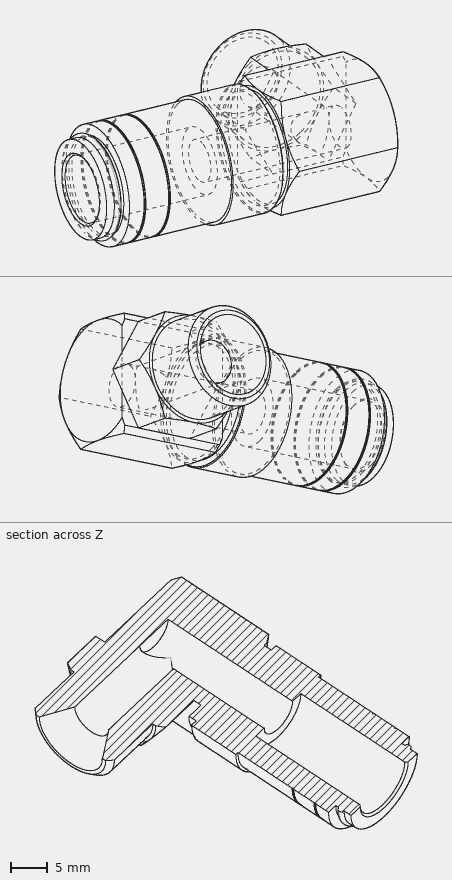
import cadquery as cq
import math


body_flats = 17.05
body_back = 7.12
body_front = body_back - body_flats
body_side = -5.5

nut_flats = 15.1
nut_end = -12.2
stub_end = -21.2
stub_radius = 7.05
stub_chamfer = 0.85
cone_mouth_radius = 5.6
cone_depth = 4.4

neck_radius = 8.0
collar_radius = 18.0 / 2
collar_start = -11.15
collar_end = -19.1
collar_chamfer = 0.15
sleeve_radius = 8.55
sleeve_end = -35.15
groove_places = (-28.8, -32.7)
groove_width = 0.25
groove_depth = 0.1

nose_radius = stub_radius
nose_end = -37.85
ring_place = -36.15
ring_wire_radius = 0.5
ring_outer_radius = 7.5

bore_radius = 6.0 / 2
socket_radius = 4.75
socket_bottom = collar_end
socket_chamfer = 0.33

hex_chamfer_angle = 30


def cylinder_y(radius, start, end):
    """Cylinder around the Y axis between two Y positions (start above end)."""
    return cq.Workplane("XZ", origin=(0, start, 0)).circle(radius).extrude(start - end)


def cylinder_x(radius, start, end):
    """Cylinder around the X axis between two X positions."""
    return cq.Workplane("YZ", origin=(start, 0, 0)).circle(radius).extrude(end - start)


def hex_prism(flats, length, both_ends):
    """Hexagonal bar along local Z, corners on local X, with conical chamfers at its ends."""
    corner_radius = flats / math.sqrt(3)
    flat_radius = flats / 2
    drop = (corner_radius - flat_radius) * math.tan(math.radians(hex_chamfer_angle))
    bar = cq.Workplane("XY").polygon(6, 2 * corner_radius).extrude(length)
    profile = cq.Workplane("XZ").lineTo(flat_radius, 0).lineTo(corner_radius, drop)
    if both_ends:
        profile = profile.lineTo(corner_radius, length - drop).lineTo(flat_radius, length)
    else:
        profile = profile.lineTo(corner_radius, length)
    envelope = profile.lineTo(0, length).close().revolve(360, (0, 0, 0), (0, 1, 0))
    return bar.intersect(envelope)


def make_body():
    length = body_back - body_front
    body = hex_prism(body_flats, length, True)
    body = body.rotate((0, 0, 0), (1, 0, 0), 90).translate((0, body_back, 0))
    return body.intersect(
        cq.Workplane("XY").box(2 * body_flats, 4 * body_flats, 2 * body_flats)
        .translate((body_side + body_flats, 0, 0))
    )


def make_stub():
    nut = hex_prism(nut_flats, body_side - nut_end, False)
    nut = nut.rotate((0, 0, 0), (0, 0, 1), 90).rotate((0, 0, 0), (0, 1, 0), 90)
    nut = nut.translate((nut_end, 0, 0))
    tube = cylinder_x(stub_radius, stub_end, body_side).faces("<X").chamfer(stub_chamfer)
    return nut.union(tube)


def make_sleeve():
    neck = cylinder_y(neck_radius, body_front, collar_start)
    collar = cylinder_y(collar_radius, collar_start, collar_end).faces(">Y").chamfer(collar_chamfer)
    sleeve = cylinder_y(sleeve_radius, collar_end, sleeve_end)
    for place in groove_places:
        start = place + groove_width / 2
        end = place - groove_width / 2
        outside = cylinder_y(collar_radius, start, end)
        sleeve = sleeve.cut(outside.cut(cylinder_y(sleeve_radius - groove_depth, start, end)))
    return neck.union(collar).union(sleeve)


def make_nose():
    nose = cylinder_y(nose_radius, sleeve_end, nose_end)
    ring = (
        cq.Workplane("XY")
        .center(ring_outer_radius - ring_wire_radius, ring_place)
        .circle(ring_wire_radius)
        .revolve(360, (ring_wire_radius - ring_outer_radius, 0, 0),
                 (ring_wire_radius - ring_outer_radius, 1, 0))
    )
    return nose.union(ring)


def make_stub_passage():
    return (
        cq.Workplane("XY")
        .moveTo(stub_end, 0)
        .lineTo(stub_end, cone_mouth_radius)
        .lineTo(stub_end + cone_depth, bore_radius)
        .lineTo(0, bore_radius)
        .lineTo(0, 0)
        .close()
        .revolve(360, (0, 0, 0), (1, 0, 0))
    )


def make_sleeve_passage():
    return (
        cq.Workplane("XY")
        .moveTo(0, nose_end)
        .lineTo(socket_radius + socket_chamfer, nose_end)
        .lineTo(socket_radius, nose_end + socket_chamfer)
        .lineTo(socket_radius, socket_bottom)
        .lineTo(bore_radius, socket_bottom)
        .lineTo(bore_radius, bore_radius)
        .lineTo(0, bore_radius)
        .close()
        .revolve(360, (0, 0, 0), (0, 1, 0))
    )


solid_parts = make_body().union(make_stub()).union(make_sleeve()).union(make_nose())
result = solid_parts.cut(make_stub_passage()).cut(make_sleeve_passage())